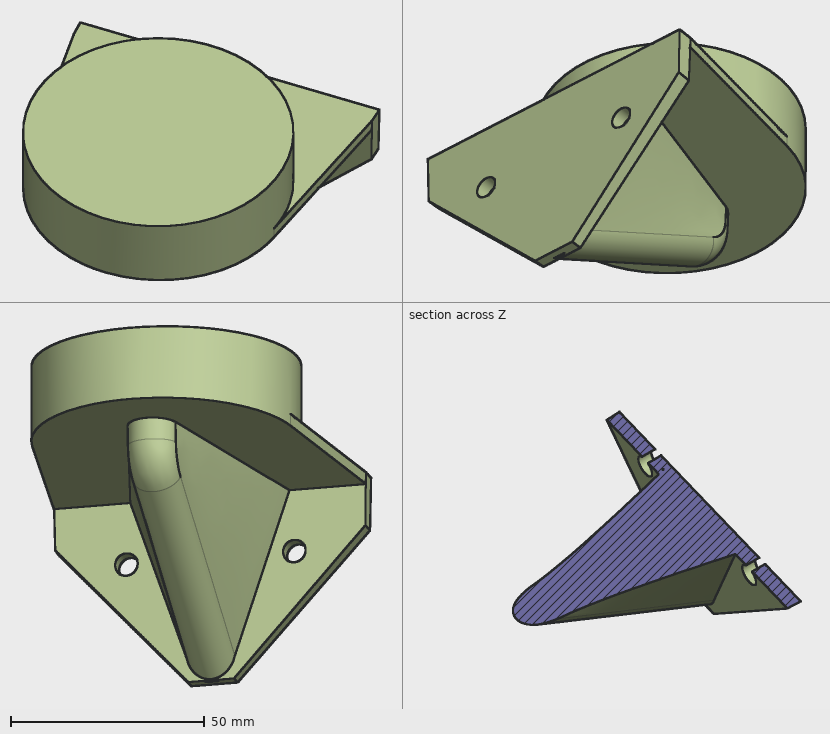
import cadquery as cq
import math


drum_radius = 35.0
drum_top = 71.64

wall_back = 48.0
wall_half_width = 41.99
wall_foot_half_width = 6.2
wall_shoulder_height = 38.4
wall_shoulder_half_width = 41.7
wall_foot_thickness = 3.4
wall_top_thickness = 4.7
wall_draft = 2.0
hole_diameter = 6.0
hole_spacing = 45.0
hole_height = 33.1

shelf_slope = math.tan(math.radians(2.0))
shelf_back_top = 52.6
shelf_back_bottom = 49.4
shelf_root_half_width = 36.0

rib_half_width = 6.4
rib_flare_half_width = 22.5
rib_foot_height = 4.1
rib_angle = math.radians(30.6)
rib_corner_y = -14.35
rib_front_lean = math.radians(3.0)
rib_bend_radius = 10.0
rib_nose_depth = 4.9


def shelf_top_at(y):
    return shelf_back_top + (wall_back - y) * shelf_slope


def shelf_bottom_at(y):
    return shelf_back_bottom + (wall_back - y) * shelf_slope


def rib_edge_at(y):
    """Height of the sloping edge of the rib core, before its bend."""
    return rib_foot_height + (wall_back - y) * math.tan(rib_angle)


def side_prism(points, half_width):
    """Prism with a closed (Y, Z) outline, symmetric about the plane X = 0."""
    return cq.Workplane("YZ").polyline(points).close().extrude(half_width, both=True)


def make_wall():
    """Drafted plate, thinner at its foot, with a top that continues the shelf."""
    wall_front = wall_back - wall_top_thickness
    outline = [
        (-wall_foot_half_width, 0),
        (wall_foot_half_width, 0),
        (wall_shoulder_half_width, wall_shoulder_height),
        (wall_half_width, shelf_back_top),
        (wall_half_width, drum_top),
        (-wall_half_width, drum_top),
        (-wall_half_width, shelf_back_top),
        (-wall_shoulder_half_width, wall_shoulder_height),
    ]
    plate = (
        cq.Workplane("XZ", origin=(0, wall_back, 0))
        .polyline(outline)
        .close()
        .extrude(wall_top_thickness, taper=wall_draft)
    )
    wedge = side_prism(
        [
            (wall_back, 0),
            (wall_back, shelf_back_top),
            (wall_front, shelf_top_at(wall_front)),
            (wall_back - wall_foot_thickness, 0),
        ],
        wall_half_width,
    )
    return plate.intersect(wedge)


def make_shelf():
    """Plate whose sides run from the wall tangentially into the drum."""
    corner_x = wall_half_width - wall_top_thickness * math.tan(math.radians(wall_draft))
    corner_y = wall_back - wall_top_thickness
    corner_distance = math.hypot(corner_x, corner_y)
    tangent_angle = math.atan2(corner_y, corner_x) - math.acos(drum_radius / corner_distance)
    tangent_x = drum_radius * math.cos(tangent_angle)
    tangent_y = drum_radius * math.sin(tangent_angle)
    blank = (
        cq.Workplane("XY")
        .moveTo(-shelf_root_half_width, wall_back)
        .lineTo(shelf_root_half_width, wall_back)
        .lineTo(corner_x, corner_y)
        .lineTo(tangent_x, tangent_y)
        .threePointArc((0, -drum_radius), (-tangent_x, tangent_y))
        .lineTo(-corner_x, corner_y)
        .close()
        .extrude(drum_top)
    )
    band = side_prism(
        [
            (wall_back, shelf_back_bottom),
            (wall_back, shelf_back_top),
            (-drum_radius, shelf_top_at(-drum_radius)),
            (-drum_radius, shelf_bottom_at(-drum_radius)),
        ],
        wall_half_width,
    )
    return blank.intersect(band)


def make_drum():
    """Drum that ends flush with the tilted underside of the shelf."""
    above_shelf_bottom = side_prism(
        [
            (drum_radius, shelf_bottom_at(drum_radius)),
            (drum_radius, drum_top),
            (-drum_radius, drum_top),
            (-drum_radius, shelf_bottom_at(-drum_radius)),
        ],
        drum_radius,
    )
    return cq.Workplane("XY").circle(drum_radius).extrude(drum_top).intersect(above_shelf_bottom)


rib_foot = (wall_back, rib_foot_height)
rib_corner_z = rib_edge_at(rib_corner_y)
bend_turn = math.pi / 2 - rib_angle - rib_front_lean
bend_reach = rib_bend_radius * math.tan(bend_turn / 2)
bend_start = (
    rib_corner_y + bend_reach * math.cos(rib_angle),
    rib_corner_z - bend_reach * math.sin(rib_angle),
)
bend_end = (
    rib_corner_y - bend_reach * math.sin(rib_front_lean),
    rib_corner_z + bend_reach * math.cos(rib_front_lean),
)
bend_center = (
    bend_end[0] + rib_bend_radius * math.cos(rib_front_lean),
    bend_end[1] + rib_bend_radius * math.sin(rib_front_lean),
)
bend_mid_angle = rib_front_lean + bend_turn / 2
bend_mid = (
    bend_center[0] - rib_bend_radius * math.cos(bend_mid_angle),
    bend_center[1] - rib_bend_radius * math.sin(bend_mid_angle),
)
rib_top_z = shelf_top_at(rib_corner_y)
rib_front_y = rib_corner_y - (rib_top_z - rib_corner_z) * math.tan(rib_front_lean)
rib_front_top = (rib_front_y, rib_top_z)


def make_rib_core():
    """Core that is widest at the top of the wall and narrows to the nose width."""
    back_top = shelf_bottom_at(wall_back)
    front_bottom = rib_edge_at(rib_front_y)
    front_top = shelf_bottom_at(rib_front_y)
    flared = (
        cq.Workplane("XZ", origin=(0, wall_back, 0))
        .polyline(
            [
                (-rib_half_width, rib_foot_height),
                (rib_half_width, rib_foot_height),
                (rib_flare_half_width, back_top),
                (-rib_flare_half_width, back_top),
            ]
        )
        .close()
        .workplane(offset=wall_back - rib_front_y)
        .polyline(
            [
                (-rib_half_width, front_bottom),
                (rib_half_width, front_bottom),
                (rib_half_width, front_top),
                (-rib_half_width, front_top),
            ]
        )
        .close()
        .loft(ruled=True)
    )
    side_shape = (
        cq.Workplane("YZ")
        .moveTo(*rib_foot)
        .lineTo(*bend_start)
        .threePointArc(bend_mid, bend_end)
        .lineTo(*rib_front_top)
        .lineTo(wall_back, rib_top_z)
        .close()
        .extrude(rib_flare_half_width, both=True)
    )
    return flared.intersect(side_shape)


def make_rib_nose():
    """Rounded nose swept along the free edge of the rib core, kept above the wall foot."""
    path = (
        cq.Workplane("YZ")
        .moveTo(*rib_front_top)
        .lineTo(*bend_end)
        .threePointArc(bend_mid, bend_start)
        .lineTo(*rib_foot)
    )
    section_plane = cq.Plane(
        origin=(0, rib_front_y, rib_top_z),
        xDir=(1, 0, 0),
        normal=(0, -math.sin(rib_front_lean), math.cos(rib_front_lean)),
    )
    nose = (
        cq.Workplane(section_plane)
        .moveTo(-rib_half_width, 0)
        .threePointArc((0, -rib_nose_depth), (rib_half_width, 0))
        .close()
        .sweep(path)
    )
    above_wall_foot = side_prism(
        [
            (wall_back, 0),
            (wall_back, drum_top),
            (-drum_radius, drum_top),
            (-drum_radius, 0),
        ],
        rib_half_width,
    )
    return nose.intersect(above_wall_foot)


def make_holes():
    return (
        cq.Workplane("XZ", origin=(0, wall_back, hole_height))
        .pushPoints([(-hole_spacing / 2, 0), (hole_spacing / 2, 0)])
        .circle(hole_diameter / 2)
        .extrude(wall_top_thickness)
    )


result = (
    make_wall()
    .union(make_shelf())
    .union(make_drum())
    .union(make_rib_core())
    .union(make_rib_nose())
    .cut(make_holes())
)